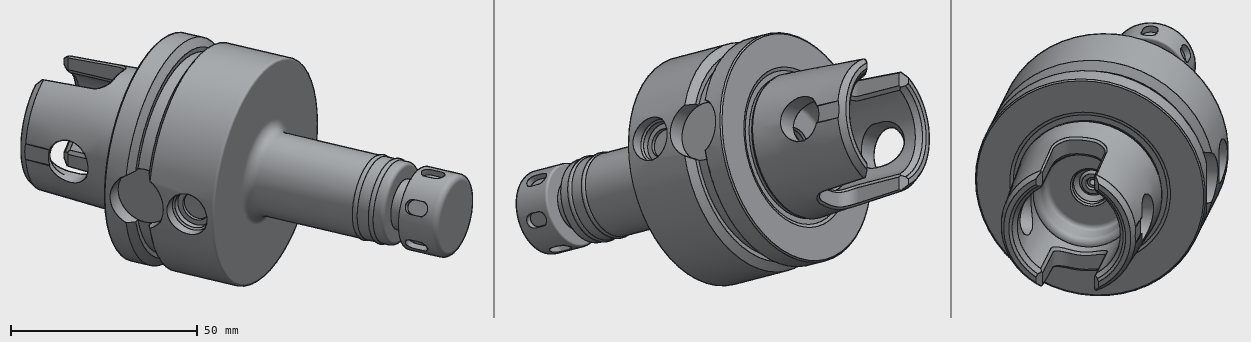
import cadquery as cq
import math

TOTAL_LENGTH = 122.0
SHANK_LENGTH = 32.0
FLANGE_END = 65.0
BODY_END = 106.0
NUT_START = 110.3

GAUGE_RADIUS = 19.93
TAPER_SLOPE = 0.05
GAUGE_X = 30.7
TIP_CHAMFER_LENGTH = 2.0
TIP_CHAMFER_DEPTH = 1.1
NECK_RADIUS = 19.5
NECK_START = 31.4
FACE_GROOVE_RADIUS = 22.0
FACE_GROOVE_DEPTH = 0.3
FACE_GROOVE_SLOPE_WIDTH = 0.9

FLANGE_RADIUS = 31.5
FLANGE_FRONT_CHAMFER = 0.4
FLANGE_BACK_FILLET = 0.7
GROOVE_RADIUS = 27.8
GROOVE_START = 39.9
GROOVE_WIDTH = 4.0
GROOVE_CHAMFER_LENGTH = 1.6
GROOVE_CHAMFER_DEPTH = 2.4

BODY_RADIUS = 23.0 / 2
BODY_FILLET = 3.0
BODY_END_FILLET = 1.1
RING_STARTS = (96.7, 101.5)
RING_WIDTH = 1.45
RING_DEPTH = 0.35
SPINDLE_RADIUS = 14.0 / 2
NUT_BACK_FILLET = 0.6
NUT_FRONT_FILLET = 1.65
NUT_SLOT_COUNT = 6
NUT_SLOT_CENTER_X = 115.2
NUT_SLOT_LENGTH = 6.6
NUT_SLOT_WIDTH = 4.1
NUT_SLOT_FLOOR_RADIUS = 9.7

MOUTH_RADIUS = 16.0
MOUTH_CHAMFER_DEPTH = 0.6
LEAD_IN_RADIUS = 15.2
LEAD_IN_DEPTH = 2.2
BORE_RADIUS = 14.1
BORE_DEPTH = 24.6
POCKET_RADIUS = 12.2
POCKET_DEPTH = 32.4
POCKET_LIP_FILLET = BORE_RADIUS - POCKET_RADIUS
POCKET_FLOOR_FILLET = 1.3

COOLANT_RIM_RADIUS = 11.0 / 2
COOLANT_RIM_CHAMFER = 0.5
COOLANT_CONE_START = 2.0
COOLANT_CONE_END_RADIUS = 7.3 / 2
COOLANT_CONE_LENGTH = 1.3
PLUG_RADIUS = 5.75 / 2
PLUG_HEIGHT = 0.8
JET_SEAT_RADIUS = 3.5 / 2
JET_SEAT_END_RADIUS = 3.0 / 2
JET_SEAT_DEPTH = 1.0
JET_RADIUS = 1.7 / 2
JET_DEPTH = 5.0
JET_POINT_LENGTH = 0.5

SLOT_WIDTH = 14.2
SLOT_DEPTH = 20.2
SLOT_CORNER_RADIUS = 4.0
SLOT_MOUTH_WIDTH = 17.2
SLOT_OUTER_CHAMFER = 0.6
SLOT_INNER_CHAMFER = 0.7
BALL_HOLE_DIAMETER = 12.5
BALL_HOLE_X = 15.0
BALL_RAMP_Y = 15.0
BALL_RAMP_TILT = 40.0
KEY_WIDTH = 4.75
KEY_FLOOR_Y = 18.3

GRIPPER_SEAT_DIAMETER = 16.0
GRIPPER_SEAT_FLOOR_Y = 26.6
SCREW_HOLE_X = 57.0
SCREW_HOLE_MOUTH_DIAMETER = 12.0
SCREW_HOLE_MOUTH_DEPTH = 3.3
SCREW_HOLE_DIAMETER = 11.0
SCREW_HOLE_DEPTH = 5.5
SCREW_SOCKET_DIAMETER = 8.0
SCREW_SOCKET_DEPTH = 1.0


def taper_radius(x):
    return GAUGE_RADIUS - TAPER_SLOPE * (GAUGE_X - x)


def revolve_about_x(profile):
    return profile.close().revolve(360, (0, 0, 0), (1, 0, 0))


def outer_body():
    groove_end = GROOVE_START + GROOVE_WIDTH
    shoulder_radius = FLANGE_RADIUS - GROOVE_CHAMFER_DEPTH
    tip_radius = taper_radius(TIP_CHAMFER_LENGTH)
    profile = (
        cq.Workplane("XY")
        .lineTo(0, tip_radius - TIP_CHAMFER_DEPTH)
        .lineTo(TIP_CHAMFER_LENGTH, tip_radius)
        .lineTo(GAUGE_X, GAUGE_RADIUS)
        .lineTo(NECK_START, NECK_RADIUS)
        .lineTo(SHANK_LENGTH + FACE_GROOVE_DEPTH, NECK_RADIUS)
        .lineTo(SHANK_LENGTH + FACE_GROOVE_DEPTH, FACE_GROOVE_RADIUS - FACE_GROOVE_SLOPE_WIDTH)
        .lineTo(SHANK_LENGTH, FACE_GROOVE_RADIUS)
        .lineTo(SHANK_LENGTH, FLANGE_RADIUS - FLANGE_FRONT_CHAMFER)
        .lineTo(SHANK_LENGTH + FLANGE_FRONT_CHAMFER, FLANGE_RADIUS)
        .lineTo(GROOVE_START - GROOVE_CHAMFER_LENGTH, FLANGE_RADIUS)
        .lineTo(GROOVE_START, shoulder_radius)
        .lineTo(GROOVE_START, GROOVE_RADIUS)
        .lineTo(groove_end, GROOVE_RADIUS)
        .lineTo(groove_end, shoulder_radius)
        .lineTo(groove_end + GROOVE_CHAMFER_LENGTH, FLANGE_RADIUS)
        .lineTo(FLANGE_END - FLANGE_BACK_FILLET, FLANGE_RADIUS)
        .radiusArc((FLANGE_END, FLANGE_RADIUS - FLANGE_BACK_FILLET), FLANGE_BACK_FILLET)
        .lineTo(FLANGE_END, BODY_RADIUS + BODY_FILLET)
        .radiusArc((FLANGE_END + BODY_FILLET, BODY_RADIUS), -BODY_FILLET)
    )
    for start in RING_STARTS:
        profile = (
            profile.lineTo(start, BODY_RADIUS)
            .sagittaArc((start + RING_WIDTH, BODY_RADIUS), RING_DEPTH)
        )
    profile = (
        profile.lineTo(BODY_END - BODY_END_FILLET, BODY_RADIUS)
        .radiusArc((BODY_END, BODY_RADIUS - BODY_END_FILLET), BODY_END_FILLET)
        .lineTo(BODY_END, SPINDLE_RADIUS)
        .lineTo(NUT_START, SPINDLE_RADIUS)
        .lineTo(NUT_START, BODY_RADIUS - NUT_BACK_FILLET)
        .radiusArc((NUT_START + NUT_BACK_FILLET, BODY_RADIUS), NUT_BACK_FILLET)
        .lineTo(TOTAL_LENGTH - NUT_FRONT_FILLET, BODY_RADIUS)
        .radiusArc((TOTAL_LENGTH, BODY_RADIUS - NUT_FRONT_FILLET), NUT_FRONT_FILLET)
        .lineTo(TOTAL_LENGTH, 0)
    )
    return revolve_about_x(profile)


def shank_cavity():
    profile = (
        cq.Workplane("XY")
        .lineTo(0, MOUTH_RADIUS)
        .lineTo(MOUTH_CHAMFER_DEPTH, LEAD_IN_RADIUS)
        .lineTo(LEAD_IN_DEPTH, BORE_RADIUS)
        .lineTo(BORE_DEPTH, BORE_RADIUS)
        .radiusArc((BORE_DEPTH + POCKET_LIP_FILLET, POCKET_RADIUS), -POCKET_LIP_FILLET)
        .lineTo(POCKET_DEPTH - POCKET_FLOOR_FILLET, POCKET_RADIUS)
        .radiusArc((POCKET_DEPTH, POCKET_RADIUS - POCKET_FLOOR_FILLET), POCKET_FLOOR_FILLET)
        .lineTo(POCKET_DEPTH, 0)
    )
    return revolve_about_x(profile)


def coolant_bore():
    wall_radius = COOLANT_RIM_RADIUS - COOLANT_RIM_CHAMFER
    cone_end = COOLANT_CONE_START + COOLANT_CONE_LENGTH
    plug_tip = cone_end - PLUG_HEIGHT
    jet_start = plug_tip + JET_SEAT_DEPTH
    jet_end = jet_start + JET_DEPTH
    profile = (
        cq.Workplane("XY", origin=(POCKET_DEPTH, 0, 0))
        .lineTo(0, COOLANT_RIM_RADIUS)
        .lineTo(COOLANT_RIM_CHAMFER, wall_radius)
        .lineTo(COOLANT_CONE_START, wall_radius)
        .lineTo(cone_end, COOLANT_CONE_END_RADIUS)
        .lineTo(plug_tip, PLUG_RADIUS)
        .lineTo(plug_tip, JET_SEAT_RADIUS)
        .lineTo(jet_start, JET_SEAT_END_RADIUS)
        .lineTo(jet_start, JET_RADIUS)
        .lineTo(jet_end, JET_RADIUS)
        .lineTo(jet_end + JET_POINT_LENGTH, 0)
    )
    return revolve_about_x(profile)


def cylinder_along_y(x, diameter, y_start, y_end):
    return (
        cq.Workplane("XZ", origin=(x, y_start, 0))
        .circle(diameter / 2)
        .extrude(y_start - y_end)
    )


def drive_slots():
    half = SLOT_WIDTH / 2
    mouth_half = SLOT_MOUTH_WIDTH / 2
    return (
        cq.Workplane("XY", origin=(0, 0, -FLANGE_RADIUS))
        .moveTo(0, -mouth_half)
        .lineTo(TIP_CHAMFER_LENGTH, -half)
        .lineTo(SLOT_DEPTH - SLOT_CORNER_RADIUS, -half)
        .radiusArc((SLOT_DEPTH, -half + SLOT_CORNER_RADIUS), -SLOT_CORNER_RADIUS)
        .lineTo(SLOT_DEPTH, half - SLOT_CORNER_RADIUS)
        .radiusArc((SLOT_DEPTH - SLOT_CORNER_RADIUS, half), -SLOT_CORNER_RADIUS)
        .lineTo(TIP_CHAMFER_LENGTH, half)
        .lineTo(0, mouth_half)
        .close()
        .extrude(2 * FLANGE_RADIUS)
    )


def slot_edges(shank, surface_radius):
    """Edges where the slot walls meet a surface of revolution with radius surface_radius(x)."""
    tolerance = 0.05

    def on_slot_rim(edge):
        middle = edge.positionAt(0.5)
        inside_slot = abs(middle.y) < SLOT_WIDTH / 2 + tolerance
        past_mouth = LEAD_IN_DEPTH + tolerance < middle.x < SLOT_DEPTH + tolerance
        radius = math.hypot(middle.y, middle.z)
        return inside_slot and past_mouth and abs(radius - surface_radius(middle.x)) < tolerance

    return shank.newObject([edge for edge in shank.edges().vals() if on_slot_rim(edge)])


def bore_radius(_):
    return BORE_RADIUS


def ball_ramp():
    """Tilted bore that opens the inner end of the ball hole toward the shank tip."""
    inward = cq.Vector(
        -math.sin(math.radians(BALL_RAMP_TILT)),
        -math.cos(math.radians(BALL_RAMP_TILT)),
        0,
    )
    start = cq.Vector(BALL_HOLE_X, BALL_RAMP_Y, 0)
    ramp = cq.Solid.makeCylinder(BALL_HOLE_DIAMETER / 2, BALL_HOLE_DIAMETER, start, inward)
    return cq.Workplane(obj=ramp)


def key_flat():
    return (
        cq.Workplane("XY")
        .box(BALL_HOLE_X, GAUGE_RADIUS - KEY_FLOOR_Y, KEY_WIDTH, centered=(False, False, True))
        .translate((0, KEY_FLOOR_Y, 0))
    )


def screw_hole():
    mouth_end = FLANGE_RADIUS - SCREW_HOLE_MOUTH_DEPTH
    hole_end = FLANGE_RADIUS - SCREW_HOLE_DEPTH
    socket_end = hole_end - SCREW_SOCKET_DEPTH
    cone_depth = (SCREW_HOLE_MOUTH_DIAMETER - SCREW_HOLE_DIAMETER) / 2
    profile = (
        cq.Workplane("XY", origin=(SCREW_HOLE_X, 0, 0))
        .moveTo(0, FLANGE_RADIUS)
        .lineTo(SCREW_HOLE_MOUTH_DIAMETER / 2, FLANGE_RADIUS)
        .lineTo(SCREW_HOLE_MOUTH_DIAMETER / 2, mouth_end)
        .lineTo(SCREW_HOLE_DIAMETER / 2, mouth_end - cone_depth)
        .lineTo(SCREW_HOLE_DIAMETER / 2, hole_end)
        .lineTo(SCREW_SOCKET_DIAMETER / 2, hole_end)
        .lineTo(SCREW_SOCKET_DIAMETER / 2, socket_end)
        .lineTo(0, socket_end)
    )
    return profile.close().revolve(360, (0, 0, 0), (0, 1, 0))


def gripper_seat():
    center_x = GROOVE_START + GROOVE_WIDTH / 2
    return cylinder_along_y(center_x, GRIPPER_SEAT_DIAMETER, GRIPPER_SEAT_FLOOR_Y, FLANGE_RADIUS)


def on_both_sides(cutter):
    return cutter.union(cutter.mirror("XZ"))


def nut_slots():
    slot = (
        cq.Workplane("XY", origin=(NUT_SLOT_CENTER_X, 0, NUT_SLOT_FLOOR_RADIUS))
        .slot2D(NUT_SLOT_LENGTH, NUT_SLOT_WIDTH)
        .extrude(BODY_RADIUS)
    )
    pitch = 360 / NUT_SLOT_COUNT
    slots = slot
    for index in range(1, NUT_SLOT_COUNT):
        slots = slots.union(slot.rotate((0, 0, 0), (1, 0, 0), index * pitch))
    return slots


result = outer_body().cut(shank_cavity()).cut(coolant_bore()).cut(drive_slots())
result = slot_edges(result, taper_radius).chamfer(SLOT_OUTER_CHAMFER)
result = slot_edges(result, bore_radius).chamfer(SLOT_INNER_CHAMFER)
result = result.cut(cylinder_along_y(BALL_HOLE_X, BALL_HOLE_DIAMETER, -FLANGE_RADIUS, FLANGE_RADIUS))
for side_cutter in (ball_ramp(), key_flat(), gripper_seat(), screw_hole()):
    result = result.cut(on_both_sides(side_cutter))
result = result.cut(nut_slots())